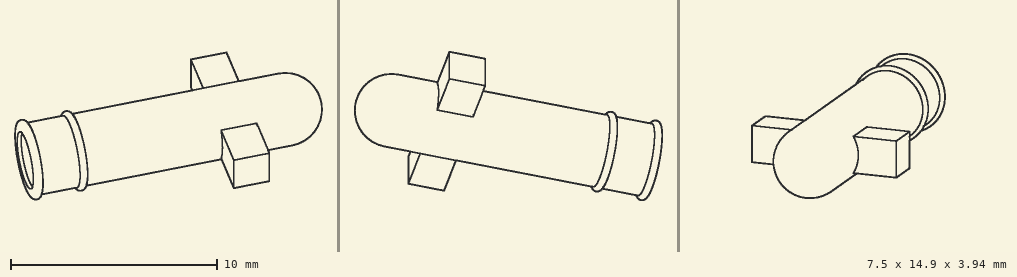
import cadquery as cq
import math

body_diameter = 3.56
overall_length = 14.89
body_radius = body_diameter / 2
cylinder_length = overall_length - body_radius

bead_radius = 0.19
bead_spacing = 2.25
end_bead_y = bead_radius
inner_bead_y = end_bead_y + bead_spacing

recess_radius = 2.81 / 2
recess_depth = 0.2

bar_span = 7.5
bar_width = 1.8
bar_height = 1.85
bar_center_y = 10.33


def add_bead(profile, center_y):
    """Run the profile along the body surface and over one half-round bead."""
    return profile.lineTo(body_radius, center_y - bead_radius).threePointArc(
        (body_radius + bead_radius, center_y),
        (body_radius, center_y + bead_radius),
    )


def make_body():
    """Revolve the recessed, beaded and domed half profile around the Y axis."""
    dome_mid = body_radius * math.sqrt(0.5)
    profile = (
        cq.Workplane("XY")
        .moveTo(0, recess_depth)
        .lineTo(recess_radius, recess_depth)
        .lineTo(recess_radius, 0)
    )
    for center_y in (end_bead_y, inner_bead_y):
        profile = add_bead(profile, center_y)
    return (
        profile.lineTo(body_radius, cylinder_length)
        .threePointArc((dome_mid, cylinder_length + dome_mid), (0, overall_length))
        .close()
        .revolve(360, (0, 0, 0), (0, 1, 0))
    )


def make_cross_bar():
    """Rectangular bar along X, passing through the body axis."""
    return cq.Workplane("XY").box(bar_span, bar_width, bar_height).translate((0, bar_center_y, 0))


result = make_body().union(make_cross_bar())